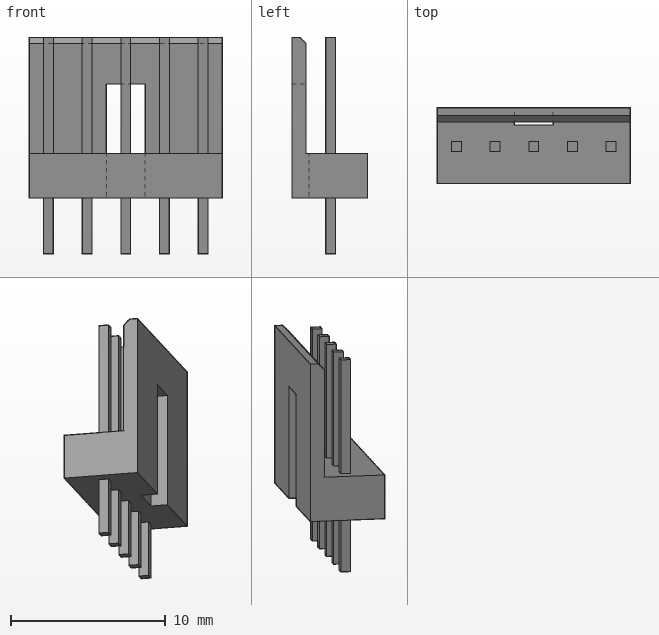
import cadquery as cq

pin_count = 5
housing_length = 12.5
pin_pitch = housing_length / pin_count
housing_depth = 4.9
pin_length = 14.0
pin_width = 0.65
pin_tail = 3.6
pin_axis_from_back = 2.5

base_height = 2.9
wall_thickness = 0.92
wall_height = pin_length - pin_tail
chamfer_depth = 0.4
chamfer_height = 0.4

slot_width = pin_pitch
slot_depth = 1.1
slot_height = 7.38


def make_housing():
    """L-shaped bar with its underside at Z = 0 and its back face at Y = 0."""
    profile = [
        (0, 0),
        (0, wall_height),
        (-wall_thickness + chamfer_depth, wall_height),
        (-wall_thickness, wall_height - chamfer_height),
        (-wall_thickness, base_height),
        (-housing_depth, base_height),
        (-housing_depth, 0),
    ]
    bar = cq.Workplane("YZ").polyline(profile).close()
    return bar.extrude(housing_length / 2, both=True)


def make_slot():
    """Cutter open at the back face and the underside."""
    slot = cq.Workplane("XY").box(slot_width, slot_depth, slot_height, centered=(True, True, False))
    return slot.translate((0, -slot_depth / 2, 0))


def make_pin(x):
    """Square pin running through the base."""
    pin = cq.Workplane("XY").box(pin_width, pin_width, pin_length, centered=(True, True, False))
    return pin.translate((x, -pin_axis_from_back, -pin_tail))


result = make_housing().cut(make_slot())
for index in range(pin_count):
    pin_x = (index - (pin_count - 1) / 2) * pin_pitch
    result = result.union(make_pin(pin_x))